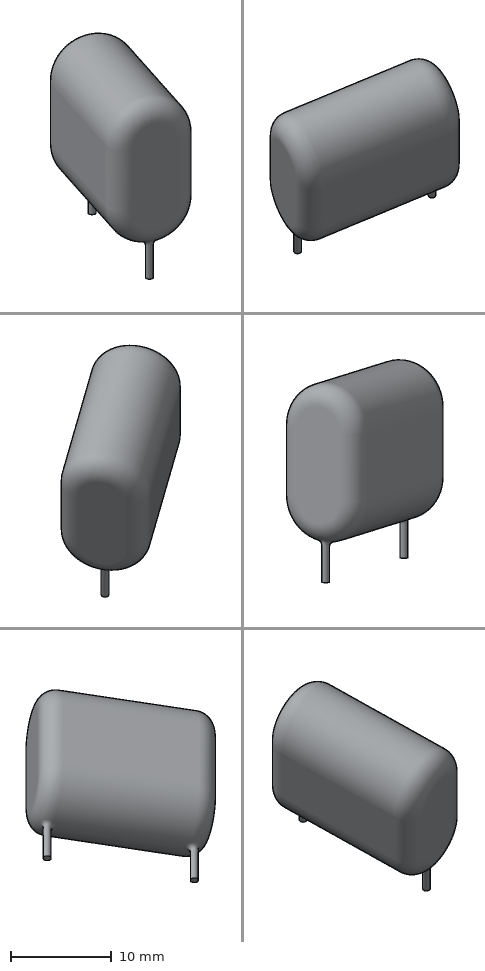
import cadquery as cq


body_length = 18.0
body_width = 9.0
body_height = 16.0
end_round_radius = 2.0

lead_length = 4.0
lead_diameter = 0.8
lead_pitch = 15.0
lead_root_fillet = 0.5

body_mid_height = body_height / 2
lead_positions = [(-lead_pitch / 2, 0), (lead_pitch / 2, 0)]


def make_body():
    """Upright stadium section run along X, with both end faces rounded over."""
    return (
        cq.Workplane("YZ")
        .center(0, body_mid_height)
        .slot2D(body_height, body_width, angle=90)
        .extrude(body_length / 2, both=True)
        .faces("<X or >X")
        .edges()
        .fillet(end_round_radius)
    )


def make_leads():
    """Round wires that start inside the body, so each joins it fully."""
    return (
        cq.Workplane("XY")
        .workplane(offset=-lead_length)
        .pushPoints(lead_positions)
        .circle(lead_diameter / 2)
        .extrude(lead_length + body_mid_height)
    )


def fillet_lead_roots(part):
    """Blend each lead into the body along the edges where they meet."""
    root = cq.selectors.BoxSelector(
        (-body_length / 2, -lead_diameter, -lead_length / 2),
        (body_length / 2, lead_diameter, end_round_radius),
        boundingbox=True,
    )
    return part.edges(root).fillet(lead_root_fillet)


result = fillet_lead_roots(make_body().union(make_leads()))